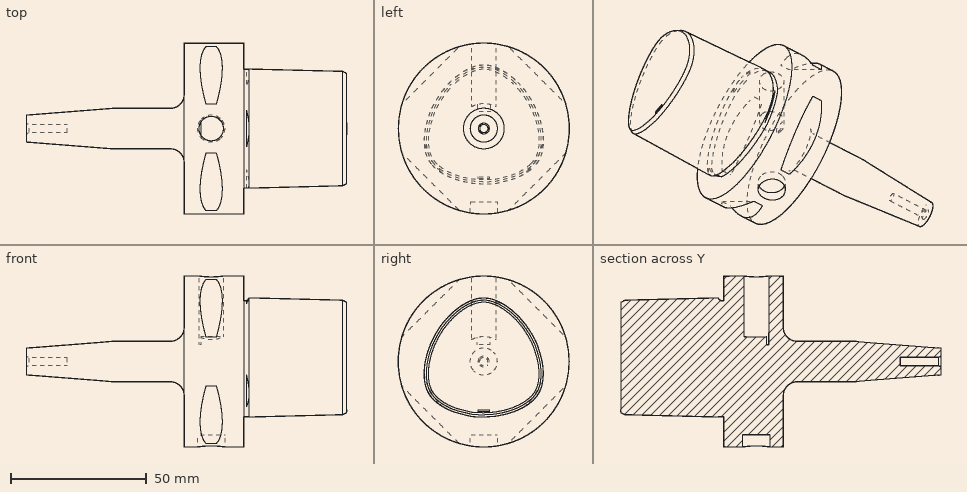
import cadquery as cq
import math


FLANGE_LENGTH = 22.0
GAUGE_LENGTH = 80.0
TIP_DIAMETER = 10.0
NECK_DIAMETER = 15.0
TIP_HALF_ANGLE = 4.5
NECK_FILLET = 5.0
BORE_DIAMETER = 3.0
BORE_MOUTH_DIAMETER = 4.0
BORE_MOUTH_HALF_ANGLE = 30.0
BORE_DEPTH = 15.0

FLANGE_DIAMETER = 63.0
GRIP_PLANE_X = -12.0
SLOT_FLOOR_RADIUS = 27.7
SLOT_FLOOR_WIDTH = 3.8
SLOT_SIDE_ANGLE = 30.0
SLOT_FLOOR_FILLET = 0.4
SLOT_COUNT = 4
CLAMP_HOLE_DIAMETER = 9.0
CORE_DIAMETER = 18.38
CORE_START_X = -15.8
CORE_GAP_DEPTH = 3.0
CHIP_HOLE_DIAMETER = 10.0
CHIP_HOLE_DEPTH = 4.5

POLYGON_WIDTH = 43.9
LOBE_OFFSET = 1.5
LOBE_COUNT = 3
POINTS_PER_LOBE = 12
SHANK_LENGTH = 37.8
TAPER = 1 / 20
ROOT_WIDTH = 43.8
ROOT_LENGTH = 1.9
BAND_LENGTH = 1.1
LEAD_LENGTH = 1.45
LEAD_DEPTH = 0.75
ROOT_TURNED_RADIUS = 22.45
ROOT_TURNED_LENGTH = 1.05

MARK_WIDTH = 4.2
MARK_HEIGHT = 0.7
MARK_Z = -18.1
MARK_RAISE = 0.2

FLANGE_RADIUS = FLANGE_DIAMETER / 2

CLEARANCE = 1.0


def nose_and_flange():
    """Turned body from the tip to the gauge plane."""
    tip_x = -GAUGE_LENGTH
    tip_radius = TIP_DIAMETER / 2
    neck_radius = NECK_DIAMETER / 2
    cone_length = (neck_radius - tip_radius) / math.tan(math.radians(TIP_HALF_ANGLE))
    fillet_middle = NECK_FILLET * math.sqrt(0.5)
    return (
        cq.Workplane("XY")
        .moveTo(tip_x, 0)
        .lineTo(tip_x, tip_radius)
        .lineTo(tip_x + cone_length, neck_radius)
        .lineTo(-FLANGE_LENGTH - NECK_FILLET, neck_radius)
        .threePointArc(
            (
                -FLANGE_LENGTH - NECK_FILLET + fillet_middle,
                neck_radius + NECK_FILLET - fillet_middle,
            ),
            (-FLANGE_LENGTH, neck_radius + NECK_FILLET),
        )
        .lineTo(-FLANGE_LENGTH, FLANGE_RADIUS)
        .lineTo(0, FLANGE_RADIUS)
        .lineTo(0, 0)
        .close()
        .revolve(360, (0, 0, 0), (1, 0, 0))
    )


def tool_bore():
    """Blind bore in the tip with a conical mouth."""
    tip_x = -GAUGE_LENGTH
    bore_radius = BORE_DIAMETER / 2
    mouth_radius = BORE_MOUTH_DIAMETER / 2
    mouth_length = (mouth_radius - bore_radius) / math.tan(math.radians(BORE_MOUTH_HALF_ANGLE))
    return (
        cq.Workplane("XY")
        .moveTo(tip_x, 0)
        .lineTo(tip_x, mouth_radius)
        .lineTo(tip_x + mouth_length, bore_radius)
        .lineTo(tip_x + BORE_DEPTH, bore_radius)
        .lineTo(tip_x + BORE_DEPTH, 0)
        .close()
        .revolve(360, (0, 0, 0), (1, 0, 0))
    )


def gripper_slots():
    """Straight slots with sloping sides, spaced evenly between the Y and Z axes."""
    depth = FLANGE_RADIUS + CLEARANCE - SLOT_FLOOR_RADIUS
    floor_half = SLOT_FLOOR_WIDTH / 2
    top_half = floor_half + depth * math.tan(math.radians(SLOT_SIDE_ANGLE))
    slot = (
        cq.Workplane("XZ", origin=(GRIP_PLANE_X, 0, SLOT_FLOOR_RADIUS))
        .moveTo(-floor_half, 0)
        .lineTo(floor_half, 0)
        .lineTo(top_half, depth)
        .lineTo(-top_half, depth)
        .close()
        .extrude(FLANGE_RADIUS, both=True)
        .faces("<Z")
        .edges("|Y")
        .fillet(SLOT_FLOOR_FILLET)
    )
    pitch = 360 / SLOT_COUNT
    slots = cq.Workplane("XY")
    for index in range(SLOT_COUNT):
        slots = slots.add(slot.rotate((0, 0, 0), (1, 0, 0), pitch * (index + 0.5)))
    return slots.combine()


def clamp_hole():
    """Hole from the top down to a round core, with a deeper gap before the core's end."""
    core_radius = CORE_DIAMETER / 2
    floor_z = core_radius - CORE_GAP_DEPTH
    hole = (
        cq.Workplane("XY", origin=(GRIP_PLANE_X, 0, floor_z))
        .circle(CLAMP_HOLE_DIAMETER / 2)
        .extrude(FLANGE_RADIUS + CLEARANCE - floor_z)
    )
    core = (
        cq.Workplane("YZ", origin=(CORE_START_X, 0, 0))
        .circle(core_radius)
        .extrude(-CORE_START_X)
    )
    return hole.cut(core)


def chip_hole():
    """Shallow blind hole on the underside of the flange."""
    return (
        cq.Workplane("XY", origin=(GRIP_PLANE_X, 0, -FLANGE_RADIUS - CLEARANCE))
        .circle(CHIP_HOLE_DIAMETER / 2)
        .extrude(CHIP_HOLE_DEPTH + CLEARANCE)
    )


def polygon_point(width, degrees):
    """Point of the polygon outline whose outward normal is turned by the angle from +Z."""
    angle = math.radians(degrees)
    reach = width / 2 + LOBE_OFFSET * math.cos(LOBE_COUNT * angle)
    slide = -LOBE_COUNT * LOBE_OFFSET * math.sin(LOBE_COUNT * angle)
    return (
        -reach * math.sin(angle) - slide * math.cos(angle),
        reach * math.cos(angle) - slide * math.sin(angle),
    )


def polygon_direction(degrees):
    """Direction of travel along the outline where its normal is turned by the angle."""
    angle = math.radians(degrees)
    return (-math.cos(angle), -math.sin(angle))


def polygon_outline(sketch, width):
    """Closed outline of smoothly joined curves, with one lobe pointing along +Z."""
    span = 360 / LOBE_COUNT
    outline = sketch.moveTo(*polygon_point(width, -span / 2))
    for index in range(LOBE_COUNT):
        start = span * (index - 0.5)
        step = span / POINTS_PER_LOBE
        points = [polygon_point(width, start + step * (count + 1)) for count in range(POINTS_PER_LOBE)]
        ends = [polygon_direction(start), polygon_direction(start + span)]
        outline = outline.spline(points, tangents=ends, includeCurrent=True)
    return outline.close()


def polygon_section(start_x, end_x, start_width, end_width):
    """Solid between two polygon outlines."""
    start = polygon_outline(cq.Workplane("YZ", origin=(start_x, 0, 0)), start_width)
    both = polygon_outline(start.workplane(offset=end_x - start_x), end_width)
    return both.loft(ruled=True)


def shank():
    """Root, straight band, taper and lead-in of the polygon shank."""
    band_end = ROOT_LENGTH + BAND_LENGTH
    lead_start = SHANK_LENGTH - LEAD_LENGTH
    lead_width = POLYGON_WIDTH - (lead_start - band_end) * TAPER
    end_width = lead_width - 2 * LEAD_DEPTH
    turned_rise = ROOT_LENGTH - ROOT_TURNED_LENGTH
    turned_limit = (
        cq.Workplane("XY")
        .lineTo(0, ROOT_TURNED_RADIUS)
        .lineTo(ROOT_TURNED_LENGTH, ROOT_TURNED_RADIUS)
        .lineTo(ROOT_LENGTH, ROOT_TURNED_RADIUS + turned_rise)
        .lineTo(ROOT_LENGTH, 0)
        .close()
        .revolve(360, (0, 0, 0), (1, 0, 0))
    )
    root = polygon_section(0, ROOT_LENGTH, ROOT_WIDTH, ROOT_WIDTH).intersect(turned_limit)
    band = polygon_section(ROOT_LENGTH, band_end, POLYGON_WIDTH, POLYGON_WIDTH)
    taper = polygon_section(band_end, lead_start, POLYGON_WIDTH, lead_width)
    lead_in = polygon_section(lead_start, SHANK_LENGTH, lead_width, end_width)
    return root.union(band).union(taper).union(lead_in)


def orientation_mark():
    """Small bar raised on the end face below the axis."""
    return (
        cq.Workplane("YZ", origin=(SHANK_LENGTH, 0, MARK_Z))
        .rect(MARK_WIDTH, MARK_HEIGHT)
        .extrude(MARK_RAISE)
    )


body = nose_and_flange().union(shank()).union(orientation_mark())
body = body.cut(tool_bore()).cut(gripper_slots())
result = body.cut(clamp_hole()).cut(chip_hole())